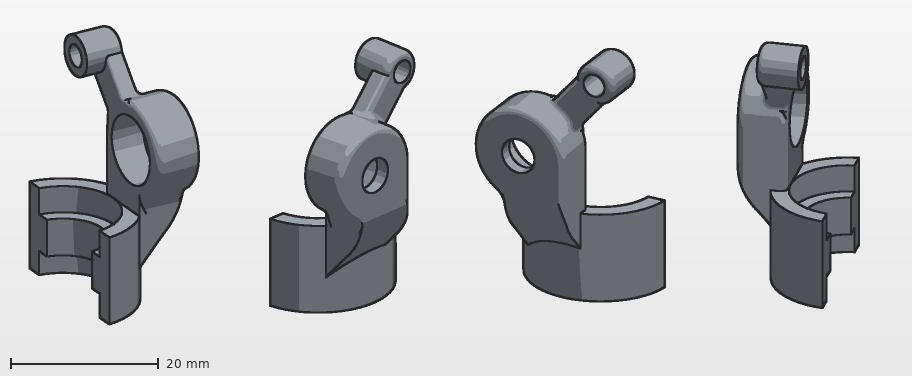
import cadquery as cq
import math

clamp_height = 13.0
clamp_radius = 10.5
groove_radius = 8.0
rib_radius = 6.0
rib_bottom = 3.55
rib_top = 9.07
split_y = 1.0

eye_x = 4.5
eye_z = 22.0
eye_radius = 7.0
eye_front = 8.0
eye_back = 15.0
eye_hole_diameter = 5.0
counterbore_diameter = 10.0
counterbore_depth = 5.0
edge_round = 1.0
blend_radius = 3.6
lug_left = eye_x - eye_radius
lug_right = math.sqrt(clamp_radius**2 - eye_front**2)
heel_top = 16.85
heel_radius = 10.0
heel_angle = math.radians(48)

tip_x = -5.0
tip_radius = 3.0
tip_z = 36 - tip_radius
tip_front = 5.0
tip_hole_diameter = 3.25
arm_back = 10.98
arm_width = 5.0
arm_length = math.hypot(eye_x - tip_x, eye_z - tip_z)
arm_front_round = 0.5
joint_round = 1.0
joint_tolerance = 0.32


def front_sketch(y):
    """Workplane at depth y, with local axes X and Z, extruding toward +Y."""
    return cq.Workplane(cq.Plane(origin=(0, y, 0), xDir=(1, 0, 0), normal=(0, -1, 0)))


def cylinder_y(x, z, radius, front, back):
    return front_sketch(front).center(x, z).circle(radius).extrude(front - back)


def make_clamp():
    def disc(radius, bottom, top):
        return cq.Workplane("XY").workplane(offset=bottom).circle(radius).extrude(top - bottom)

    ring = disc(clamp_radius, 0, clamp_height)
    ring = ring.cut(disc(rib_radius, 0, clamp_height))
    ring = ring.cut(disc(groove_radius, 0, rib_bottom))
    ring = ring.cut(disc(groove_radius, rib_top, clamp_height))
    size = 2 * clamp_radius
    kept_half = cq.Workplane("XY").box(size, size, clamp_height, centered=(True, False, False))
    return ring.intersect(kept_half.translate((0, split_y, 0)))


def make_lug_and_eye():
    depth = eye_back - eye_front
    blend_x = lug_right + blend_radius
    reach = eye_radius + blend_radius
    drop = math.sqrt(reach**2 - (blend_x - eye_x) ** 2)
    blend_z = eye_z - drop
    touch_x = eye_x + (blend_x - eye_x) * eye_radius / reach
    touch_z = eye_z - drop * eye_radius / reach
    half_turn = (math.pi + math.atan2(drop, eye_x - blend_x)) / 2
    blend_mid = (
        blend_x + blend_radius * math.cos(half_turn),
        blend_z + blend_radius * math.sin(half_turn),
    )
    body = (
        front_sketch(eye_front)
        .moveTo(lug_left, 0)
        .lineTo(lug_left, eye_z)
        .threePointArc((eye_x, eye_z + eye_radius), (eye_x + eye_radius, eye_z))
        .threePointArc(
            (eye_x + eye_radius * math.cos(math.pi / 8), eye_z - eye_radius * math.sin(math.pi / 8)),
            (touch_x, touch_z),
        )
        .threePointArc(blend_mid, (lug_right, blend_z))
        .lineTo(lug_right, 0)
        .close()
        .extrude(-depth)
        .faces("<Y or >Y")
        .edges("not <Z")
        .fillet(edge_round)
    )
    lug_core = cq.Workplane("XY").box(lug_right - eye_x, depth, eye_z, centered=False)
    body = body.union(lug_core.translate((eye_x, eye_front, 0)))
    return body.intersect(make_heel_outline())


def make_heel_outline():
    """Side outline whose back curves in to meet the clamp."""
    def on_arc(angle):
        return (
            eye_back - heel_radius * (1 - math.cos(angle)),
            heel_top - heel_radius * math.sin(angle),
        )

    heel_end = on_arc(heel_angle)
    foot_z = heel_end[1] - (heel_end[0] - eye_front) * math.tan(heel_angle)
    return (
        cq.Workplane("YZ", origin=(lug_left, 0, 0))
        .moveTo(eye_front, foot_z)
        .lineTo(*heel_end)
        .threePointArc(on_arc(heel_angle / 2), (eye_back, heel_top))
        .lineTo(eye_back, eye_z + eye_radius)
        .lineTo(eye_front, eye_z + eye_radius)
        .close()
        .extrude(2 * eye_radius)
    )


def place_on_arm(shape):
    """Move a shape drawn along +X from the origin onto the line from the small eye to the large eye."""
    tilt = math.degrees(math.atan2(eye_z - tip_z, eye_x - tip_x))
    return shape.rotate((0, 0, 0), (0, 1, 0), -tilt).translate((tip_x, 0, tip_z))


def make_arm():
    depth = arm_back - eye_front
    arm = cq.Workplane("XY").box(arm_length, depth, arm_width, centered=(False, False, True))
    arm = arm.edges("|X and <Y").fillet(arm_front_round)
    arm = arm.edges("|X and >Y").fillet(edge_round)
    return place_on_arm(arm.translate((0, eye_front, 0)))


def make_arm_flare():
    """Front layer of the arm, flared at its root to run smoothly into the large eye."""
    half_width = arm_width / 2
    flare_height = half_width + joint_round
    reach = eye_radius + joint_round
    flare_x = arm_length - math.sqrt(reach**2 - flare_height**2)
    direction = math.asin(flare_height / reach)
    inner_radius = eye_radius - edge_round + arm_front_round
    run_angle = math.acos(inner_radius / eye_radius)

    def around_eye(radius, angle):
        return (arm_length - radius * math.cos(angle), radius * math.sin(angle))

    middle = (direction - math.pi / 2) / 2
    flare_mid = (
        flare_x + joint_round * math.cos(middle),
        flare_height + joint_round * math.sin(middle),
    )
    touch = around_eye(eye_radius, direction)
    run_end = around_eye(inner_radius, direction + run_angle)

    def mirrored(point):
        return (point[0], -point[1])

    flare = (
        front_sketch(eye_front)
        .moveTo(0, -half_width)
        .lineTo(0, half_width)
        .lineTo(flare_x, half_width)
        .threePointArc(flare_mid, touch)
        .lineTo(*run_end)
        .lineTo(arm_length, 0)
        .lineTo(*mirrored(run_end))
        .lineTo(*mirrored(touch))
        .threePointArc(mirrored(flare_mid), (flare_x, -half_width))
        .close()
        .extrude(-edge_round)
        .faces("<Y")
        .edges()
        .fillet(arm_front_round)
    )
    return place_on_arm(flare)


def make_tip():
    tip = cylinder_y(tip_x, tip_z, tip_radius, tip_front, arm_back)
    return tip.faces(">Y").edges().fillet(edge_round)


def round_arm_joint(solid):
    """Fillet the corner where the sides and back of the arm meet the rim of the large eye."""
    def is_joint(edge):
        center = edge.Center()
        radial = math.hypot(center.x - eye_x, center.z - eye_z)
        on_rim = abs(radial - eye_radius) < joint_tolerance
        beside_arm = center.x < eye_x and center.z > eye_z
        behind_front_round = eye_front + edge_round < center.y < arm_back + joint_tolerance
        return on_rim and beside_arm and behind_front_round

    joint = [edge for edge in solid.edges().vals() if is_joint(edge)]
    return solid.newObject(joint).fillet(joint_round)


result = round_arm_joint(make_lug_and_eye().union(make_arm()))
result = result.union(make_arm_flare()).union(make_tip()).union(make_clamp())

result = result.cut(cylinder_y(eye_x, eye_z, eye_hole_diameter / 2, eye_front, eye_back))
result = result.cut(
    cylinder_y(eye_x, eye_z, counterbore_diameter / 2, eye_front, eye_front + counterbore_depth)
)
result = result.cut(cylinder_y(tip_x, tip_z, tip_hole_diameter / 2, tip_front, arm_back))